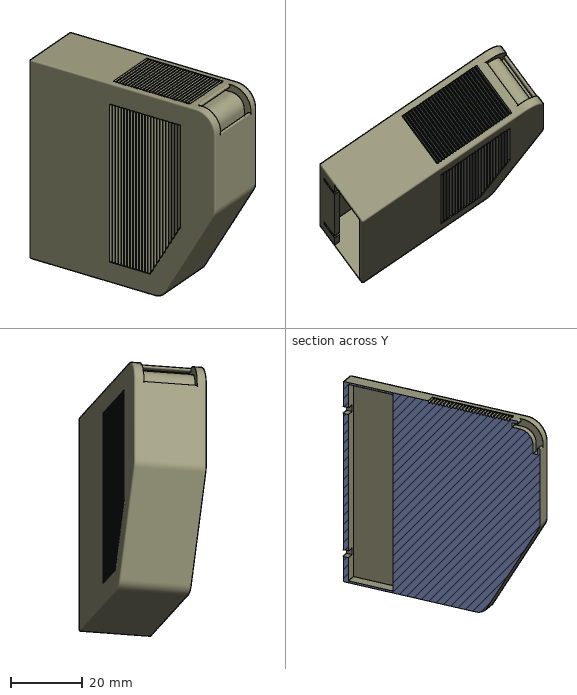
import cadquery as cq
import math

length = 62.7
width = 21.0
height = 62.76

top_corner_radius = 6.5
slope_corner_radius = 4.0
edge_radius = 0.5
slope_angle = math.radians(60)
slope_top_z = height / 2

cavity_depth = 15.75
cavity_skin = 0.75
wall = 1.5
lip_width = 7.4
lip_thickness = 1.75

slot_length = 5.0
slot_height = 2.0
slot_spacing = 44.75

groove_pitch = 1.0
groove_width = 0.75
groove_depth = 0.72
grille_start = 27.11
grille_margin = 6.5
grille_slope_margin = 6.6
front_groove_count = 24
top_groove_count = 26
top_grille_width = 17.0

notch_width = 15.5
core_radius = 4.25
skin_thickness = 1.0
skin_end_offset = 0.5
skin_end_radius = 0.45
channel_reach = 2.0

mid_y = width / 2
mid_z = height / 2
corner_x = length - top_corner_radius
corner_z = height - top_corner_radius
slope_bottom_x = length - slope_top_z / math.tan(slope_angle)


def prism(points, y_start, y_end):
    """Extrude a closed XZ polygon between two Y positions."""
    sketch = cq.Workplane("XZ", origin=(0, y_start, 0)).polyline(points).close()
    return sketch.extrude(y_start - y_end)


def block(x_range, y_range, z_range):
    """Axis-aligned box given by its limits."""
    size = [limits[1] - limits[0] for limits in (x_range, y_range, z_range)]
    corner = (x_range[0], y_range[0], z_range[0])
    return cq.Workplane("XY").box(*size, centered=False).translate(corner)


def rod(x, z, radius):
    """Cylinder along Y over the full width."""
    return cq.Workplane("XZ", origin=(x, 0, z)).circle(radius).extrude(-width)


def make_body():
    """Solid block with rounded outline corners and softened -X, -Y and +Y borders."""
    outline = [(0, 0), (slope_bottom_x, 0), (length, slope_top_z), (length, height), (0, height)]
    body = prism(outline, 0, width)
    rounded_corners = [
        (length, height, top_corner_radius),
        (length, slope_top_z, slope_corner_radius),
        (slope_bottom_x, 0, slope_corner_radius),
    ]
    for x, z, radius in rounded_corners:
        corner = cq.selectors.NearestToPointSelector((x, mid_y, z))
        body = body.edges(corner).fillet(radius)
    return body.faces("<Y or >Y or <X").edges().fillet(edge_radius)


def make_cavity():
    """Pocket behind the lip, its mouth beside the lip, and the two lip slots."""
    z_range = (cavity_skin, height - cavity_skin)
    lip_edge = width - lip_width
    cavity = block((lip_thickness, cavity_depth), (wall, width - wall), z_range)
    cavity = cavity.union(block((0, cavity_depth), (wall, lip_edge), z_range))
    for side in (-1, 1):
        slot_z = mid_z + side * slot_spacing / 2
        slot_z_range = (slot_z - slot_height / 2, slot_z + slot_height / 2)
        cavity = cavity.union(block((0, cavity_depth), (lip_edge, lip_edge + slot_length), slot_z_range))
    return cavity


def groove_centers(count):
    """X positions of the grooves of one grille."""
    first = grille_start + groove_width / 2
    return [first + index * groove_pitch for index in range(count)]


def v_groove(plane, center, surface, inward, start, run):
    """V groove at X = center, cut from a surface; run is the signed extrusion."""
    tip = surface + inward * groove_depth
    half = groove_width / 2
    points = [(center - half, surface), (center + half, surface), (center, tip)]
    return cq.Workplane(plane, origin=start).polyline(points).close().extrude(run).val()


def make_front_grille():
    """Upright grooves in the -Y face, kept at a margin from the side outline."""
    low_z = grille_margin
    high_z = height - grille_margin
    inset = grille_slope_margin / math.sin(slope_angle)
    slope_low_x = slope_bottom_x - inset + low_z / math.tan(slope_angle)
    slope_high_x = slope_bottom_x - inset + high_z / math.tan(slope_angle)
    region_outline = [(0, low_z), (slope_low_x, low_z), (slope_high_x, high_z), (0, high_z)]
    region = prism(region_outline, 0, groove_depth)
    grooves = [v_groove("XY", x, 0, 1, (0, 0, 0), height) for x in groove_centers(front_groove_count)]
    return region.intersect(cq.Workplane(cq.Compound.makeCompound(grooves)))


def make_top_grille():
    """Crosswise grooves in the +Z face."""
    start = (0, mid_y - top_grille_width / 2, 0)
    centers = groove_centers(top_groove_count)
    grooves = [v_groove("XZ", x, height, -1, start, -top_grille_width) for x in centers]
    return cq.Workplane(cq.Compound.makeCompound(grooves))


def make_notch():
    """Corner opening around the round core, with a channel running under each skin."""
    y_start = mid_y - notch_width / 2
    y_range = (y_start, y_start + notch_width)
    open_x = corner_x - skin_end_offset
    open_z = corner_z - skin_end_offset
    channel_x = open_x - channel_reach
    channel_z = open_z - channel_reach
    notch = block((open_x, length), y_range, (open_z, height))
    top_skin_z = (height - skin_thickness, height)
    side_skin_x = (length - skin_thickness, length)
    top_tip = block((open_x - skin_thickness, open_x), y_range, top_skin_z)
    top_end = block((open_x - skin_end_radius, open_x), y_range, top_skin_z)
    side_tip = block(side_skin_x, y_range, (open_z - skin_thickness, open_z))
    side_end = block(side_skin_x, y_range, (open_z - skin_end_radius, open_z))
    for tip, end in ((top_tip, top_end), (side_tip, side_end)):
        rounded_tip = tip.edges("|Y").fillet(skin_end_radius)
        notch = notch.union(end.cut(rounded_tip))
    channel_x_range = (channel_x, length - skin_thickness)
    channel_z_range = (channel_z, height - skin_thickness)
    notch = notch.union(block(channel_x_range, y_range, channel_z_range))
    core = block((channel_x, corner_x), y_range, (channel_z, corner_z + core_radius))
    core = core.union(block((channel_x, corner_x + core_radius), y_range, (channel_z, corner_z)))
    return notch.cut(core.union(rod(corner_x, corner_z, core_radius)))


result = make_body()
for cutter in (make_cavity(), make_front_grille(), make_top_grille(), make_notch()):
    result = result.cut(cutter)